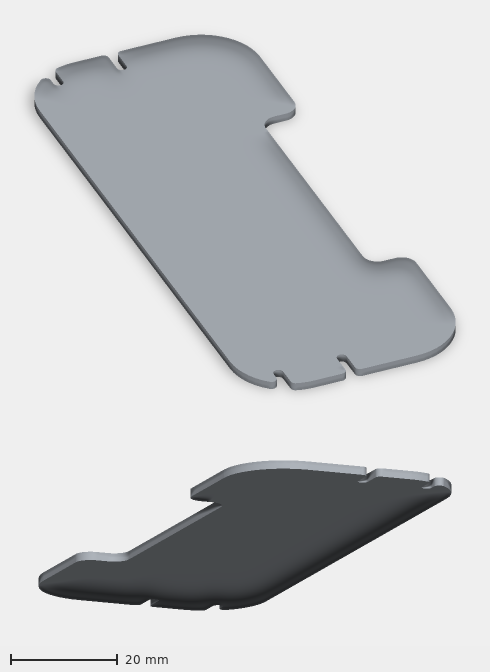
import cadquery as cq

length = 114.5
width = 45.0
thickness = 1.6
corner_radius = 12.0

notch_length = 52.0
notch_depth = 8.4
notch_radius = 3.0

slot_width = 2.0
slot_depth = 6.0
slot_heights = (19.8, 6.9)
mouth_radius = 1.0

front_y = -width / 2
back_y = width / 2


def plate():
    blank = cq.Workplane("XY").box(length, width, thickness, centered=(True, True, False))
    return blank.edges("|Z").fillet(corner_radius)


def cut_notch(body):
    cutter = (
        cq.Workplane("XY")
        .center(0, back_y)
        .rect(notch_length, 2 * notch_depth)
        .extrude(thickness)
    )
    half_reach = notch_length / 2 + notch_radius / 2
    notch_zone = cq.selectors.BoxSelector(
        (-half_reach, back_y - notch_depth - notch_radius, -thickness),
        (half_reach, back_y + notch_radius, 2 * thickness),
    )
    return body.cut(cutter).edges("|Z").edges(notch_zone).fillet(notch_radius)


def cut_end_slots(body):
    cutters = (
        cq.Workplane("XY")
        .pushPoints([(side * length / 2, front_y + height) for side in (-1, 1) for height in slot_heights])
        .slot2D(2 * slot_depth, slot_width)
        .extrude(thickness)
    )
    return body.cut(cutters)


def round_slot_mouths(body):
    inner_x = length / 2 - slot_depth + slot_width
    for side in (-1, 1):
        near_x, far_x = sorted((side * inner_x, side * (length / 2 + slot_width)))
        for height in slot_heights:
            slot_y = front_y + height
            mouth_zone = cq.selectors.BoxSelector(
                (near_x, slot_y - slot_width, -thickness),
                (far_x, slot_y + slot_width, 2 * thickness),
            )
            body = body.edges("|Z").edges(mouth_zone).fillet(mouth_radius)
    return body


result = round_slot_mouths(cut_end_slots(cut_notch(plate())))